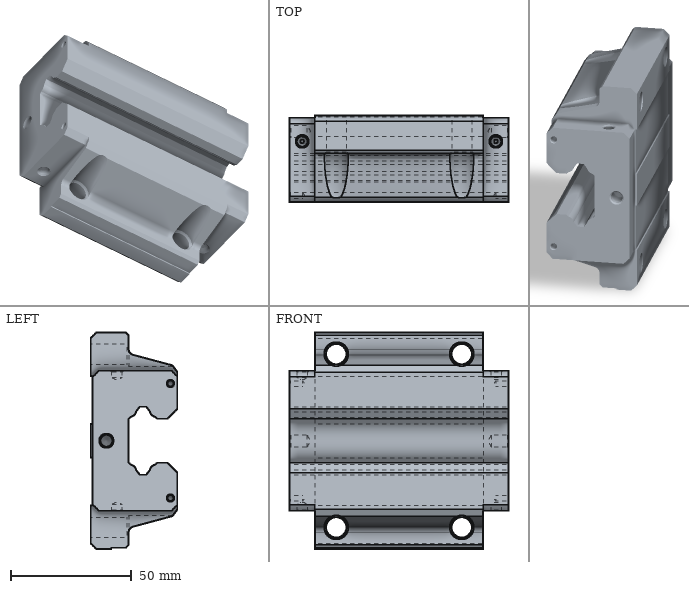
import cadquery as cq
import math


length = 91.0
height = 36.0
width = 90.0
half_length = length / 2
half_width = width / 2

cap_length = 10.65
block_length = length - 2 * cap_length
flange_front = 20.2
flange_chamfer = 1.3
mount_chamfer = 2.5
skirt_half_width = 31.3
skirt_chamfer_y = 2.1
skirt_chamfer_z = 2.8
skirt_angle = 15.0
flange_fillet = 2.5

relief_depth = 0.6
relief_inner = 7.0
relief_outer = 26.8
reference_edge_y = 27.4
reference_step = 0.55

cap_height = height - 1.0
cap_half_width = 29.1
cap_chamfer = 2.55

channel_floor = flange_front
channel_half_width = 9.1
mouth_chamfer = 4.1
groove_y = 14.3
groove_bottom_half = 1.4
groove_bottom_z = 14.0
lobe_inner_half = 2.8
lobe_inner_z = 12.1
lobe_outer_half = 5.1
lobe_outer_z = 9.8
lobe_bulge = 0.5
groove_mouth_half = channel_floor - groove_y

bolt_x = 26.0
bolt_z = 35.9
bolt_hole = 8.4
bolt_relief = 10.0

drill_half_angle = 59.0
end_port_y = 29.5
end_port_diameter = 4.9
end_port_mouth = 6.0
end_port_depth = 7.3
end_screw_y = 2.9
end_screw_z = 23.75
end_screw_diameter = 2.5
end_screw_mouth = 3.1
end_screw_depth = 5.5
side_port_y = 25.2
side_port_diameter = 4.4
side_port_mouth = 5.5
side_port_tip = 1.55
side_port_depth = 2.7


def block():
    """Flanged block: one half outline, mirrored about Z = 0."""
    rise = (flange_front - skirt_chamfer_y) * math.tan(math.radians(skirt_angle))
    corner_z = skirt_half_width + rise
    half = (
        cq.Workplane("YZ")
        .moveTo(0, 0)
        .lineTo(0, skirt_half_width - skirt_chamfer_z)
        .lineTo(skirt_chamfer_y, skirt_half_width)
        .lineTo(flange_front, corner_z)
        .lineTo(flange_front, half_width - flange_chamfer)
        .lineTo(flange_front + flange_chamfer, half_width)
        .lineTo(height - mount_chamfer, half_width)
        .lineTo(height, half_width - mount_chamfer)
        .lineTo(height, 0)
        .close()
        .extrude(block_length / 2, both=True)
    )
    inner_corner = cq.selectors.NearestToPointSelector((0, flange_front, corner_z))
    half = half.edges("|X").edges(inner_corner).fillet(flange_fillet)
    return half.union(half.mirror("XY"))


def mounting_face_reliefs():
    """Two shallow grooves along the block in the mounting face."""
    return (
        cq.Workplane("YZ")
        .pushPoints([(height, side * (relief_inner + relief_outer) / 2) for side in (-1, 1)])
        .rect(2 * relief_depth, relief_outer - relief_inner)
        .extrude(block_length / 2, both=True)
    )


def reference_step_cut():
    """Step on the -Z side that leaves the reference edge standing proud, with the flange chamfer."""
    face_z = reference_step - half_width
    return (
        cq.Workplane("YZ")
        .moveTo(flange_front, -half_width)
        .lineTo(flange_front, face_z + flange_chamfer)
        .lineTo(flange_front + flange_chamfer, face_z)
        .lineTo(reference_edge_y, face_z)
        .lineTo(reference_edge_y, -half_width)
        .close()
        .extrude(block_length / 2, both=True)
    )


def end_caps():
    """Chamfered bar as long as the part; only its ends stand clear of the block."""
    return (
        cq.Workplane("XY")
        .box(length, cap_height, 2 * cap_half_width)
        .translate((0, cap_height / 2, 0))
        .edges("|X")
        .chamfer(cap_chamfer)
    )


def channel():
    """Rail channel with a ball groove in each side; the -Z side mirrors the +Z side."""
    half = (
        cq.Workplane("YZ")
        .moveTo(0, 0)
        .lineTo(0, channel_half_width + mouth_chamfer)
        .lineTo(mouth_chamfer, channel_half_width)
        .lineTo(groove_y - groove_mouth_half, channel_half_width)
        .lineTo(groove_y - lobe_outer_half, lobe_outer_z)
        .sagittaArc((groove_y - lobe_inner_half, lobe_inner_z), -lobe_bulge)
        .lineTo(groove_y - groove_bottom_half, groove_bottom_z)
        .lineTo(groove_y + groove_bottom_half, groove_bottom_z)
        .lineTo(groove_y + lobe_inner_half, lobe_inner_z)
        .sagittaArc((groove_y + lobe_outer_half, lobe_outer_z), -lobe_bulge)
        .lineTo(channel_floor, channel_half_width)
        .lineTo(channel_floor, 0)
        .close()
        .extrude(half_length, both=True)
    )
    return half.union(half.mirror("XY"))


def bored_tool(steps):
    """Solid of revolution about Z, going down from Z = 0, through (radius, depth) steps."""
    outline = cq.Workplane("XZ").moveTo(0, 0)
    for radius, depth in steps:
        outline = outline.lineTo(radius, -depth)
    last_radius, last_depth = steps[-1]
    if last_radius > 0:
        outline = outline.lineTo(0, -last_depth)
    return outline.close().revolve(360, (0, 0), (0, 1))


def drilled_tool(diameter, mouth, depth, tip=0.0):
    """Drilled hole with a 45 degree mouth chamfer and a conical bottom, flat at the tip diameter."""
    cone = (diameter - tip) / 2 / math.tan(math.radians(drill_half_angle))
    return bored_tool([
        (mouth / 2, 0),
        (diameter / 2, (mouth - diameter) / 2),
        (diameter / 2, depth),
        (tip / 2, depth + cone),
    ])


def mounting_holes():
    """Four bolt holes along Y, opened out ahead of the flange to clear the sloped sides."""
    chamfer = (bolt_relief - bolt_hole) / 2
    tool = bored_tool([
        (bolt_relief / 2, 0),
        (bolt_relief / 2, flange_front),
        (bolt_hole / 2, flange_front + chamfer),
        (bolt_hole / 2, height),
    ])
    tool = tool.rotate((0, 0, 0), (1, 0, 0), 90)
    upper = tool.translate((-bolt_x, 0, bolt_z)).union(tool.translate((bolt_x, 0, bolt_z)))
    return upper.union(upper.mirror("XY"))


def end_face_holes():
    """Central port and two screw holes in each end face."""
    port = drilled_tool(end_port_diameter, end_port_mouth, end_port_depth)
    screw = drilled_tool(end_screw_diameter, end_screw_mouth, end_screw_depth)
    port = port.rotate((0, 0, 0), (0, 1, 0), 90)
    screw = screw.rotate((0, 0, 0), (0, 1, 0), 90)
    right = port.translate((half_length, end_port_y, 0))
    for z in (-end_screw_z, end_screw_z):
        right = right.union(screw.translate((half_length, end_screw_y, z)))
    return right.union(right.mirror("YZ"))


def side_ports():
    """Port in each side of each end cap, midway along the cap."""
    tool = drilled_tool(side_port_diameter, side_port_mouth, side_port_depth, side_port_tip)
    port_x = half_length - cap_length / 2
    upper = tool.translate((-port_x, side_port_y, cap_half_width))
    upper = upper.union(tool.translate((port_x, side_port_y, cap_half_width)))
    return upper.union(upper.mirror("XY"))


result = (
    block()
    .cut(mounting_face_reliefs())
    .cut(reference_step_cut())
    .union(end_caps())
    .cut(channel())
    .cut(mounting_holes())
    .cut(end_face_holes())
    .cut(side_ports())
)